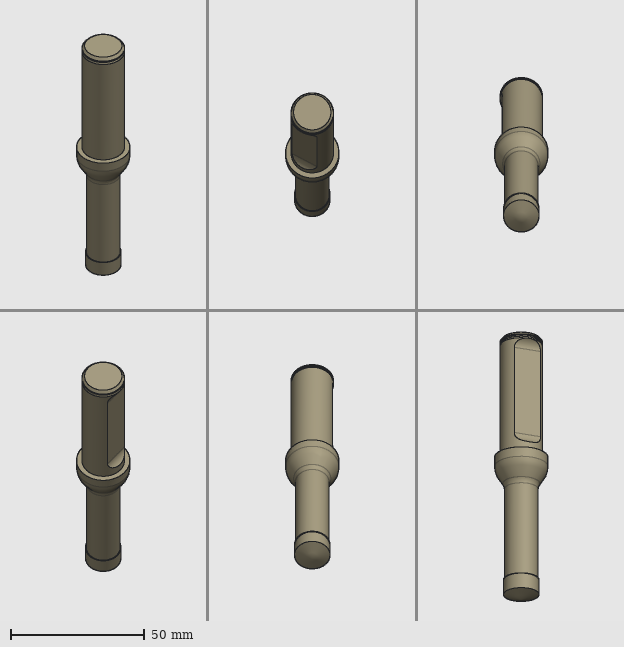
import cadquery as cq
import math

TOTAL_LENGTH = 106.0

TIP_DIAMETER = 13.4
POINT_HEIGHT = 2.1
TIP_TOP = 8.2

NECK_DIAMETER = 12.7
FLANGE_DIAMETER = 20.0
NECK_TOP = 44.9
FLANGE_BOTTOM = 54.2
FLANGE_TOP = 58.0
FLARE_BOTTOM = 47.2
FLARE_SLOPE = 31.0

SHANK_DIAMETER = 16.0
TOP_FACE_DIAMETER = 14.0
CHAMFER_HEIGHT = 1.2
RIM_HEIGHT = 0.3
GROOVE_DEPTH = 0.3
GROOVE_FLOOR_HEIGHT = 0.5
GROOVE_BOTTOM = 103.2

FLAT_DEPTH = 2.0
FLAT_BOTTOM = 61.2
FLAT_TOP = 103.2
RUNOUT_LENGTH = 3.7


def make_tip():
    """Cylinder with a conical drill point."""
    radius = TIP_DIAMETER / 2
    return (
        cq.Workplane("XZ")
        .moveTo(0, 0)
        .lineTo(radius, POINT_HEIGHT)
        .lineTo(radius, TIP_TOP)
        .lineTo(0, TIP_TOP)
        .close()
        .revolve(360, (0, 0), (0, 1))
    )


def make_turned_holder():
    """Neck, flare, flange and grooved shank as one turned profile."""
    neck_radius = NECK_DIAMETER / 2
    flange_radius = FLANGE_DIAMETER / 2
    shank_radius = SHANK_DIAMETER / 2
    groove_radius = shank_radius - GROOVE_DEPTH

    slope = math.radians(FLARE_SLOPE)
    fillet_radius = (FLARE_BOTTOM - NECK_TOP) / math.sin(slope)

    def fillet_point(angle):
        return (
            neck_radius + fillet_radius * (1 - math.cos(angle)),
            NECK_TOP + fillet_radius * math.sin(angle),
        )

    flare_start_direction = (math.sin(slope), math.cos(slope))
    flare_end_direction = (0, 1)

    rim_top = TOTAL_LENGTH - CHAMFER_HEIGHT
    rim_bottom = rim_top - RIM_HEIGHT
    return (
        cq.Workplane("XZ")
        .moveTo(0, TIP_TOP)
        .lineTo(neck_radius, TIP_TOP)
        .lineTo(neck_radius, NECK_TOP)
        .threePointArc(fillet_point(slope / 2), fillet_point(slope))
        .spline(
            [(flange_radius, FLANGE_BOTTOM)],
            tangents=[flare_start_direction, flare_end_direction],
            includeCurrent=True,
        )
        .lineTo(flange_radius, FLANGE_TOP)
        .lineTo(shank_radius, FLANGE_TOP)
        .lineTo(shank_radius, GROOVE_BOTTOM)
        .lineTo(groove_radius, rim_bottom - GROOVE_FLOOR_HEIGHT)
        .lineTo(groove_radius, rim_bottom)
        .lineTo(shank_radius, rim_bottom)
        .lineTo(shank_radius, rim_top)
        .lineTo(TOP_FACE_DIAMETER / 2, TOTAL_LENGTH)
        .lineTo(0, TOTAL_LENGTH)
        .close()
        .revolve(360, (0, 0), (0, 1))
    )


def make_flat_cutter():
    """Prism along X whose ends run out of the shank in arcs tangent to the flat."""
    outer_y = SHANK_DIAMETER / 2
    flat_y = outer_y - FLAT_DEPTH
    runout_radius = (RUNOUT_LENGTH**2 + FLAT_DEPTH**2) / (2 * FLAT_DEPTH)
    half_angle = math.asin(RUNOUT_LENGTH / runout_radius) / 2
    mid_y = flat_y + runout_radius * (1 - math.cos(half_angle))
    mid_z = runout_radius * math.sin(half_angle)
    lower_tangent = FLAT_BOTTOM + RUNOUT_LENGTH
    upper_tangent = FLAT_TOP - RUNOUT_LENGTH
    return (
        cq.Workplane("YZ")
        .moveTo(outer_y, FLAT_BOTTOM)
        .threePointArc((mid_y, lower_tangent - mid_z), (flat_y, lower_tangent))
        .lineTo(flat_y, upper_tangent)
        .threePointArc((mid_y, upper_tangent + mid_z), (outer_y, FLAT_TOP))
        .close()
        .extrude(SHANK_DIAMETER / 2, both=True)
    )


tip = make_tip()
holder = make_turned_holder().cut(make_flat_cutter())

result = cq.Compound.makeCompound([holder.val(), tip.val()])